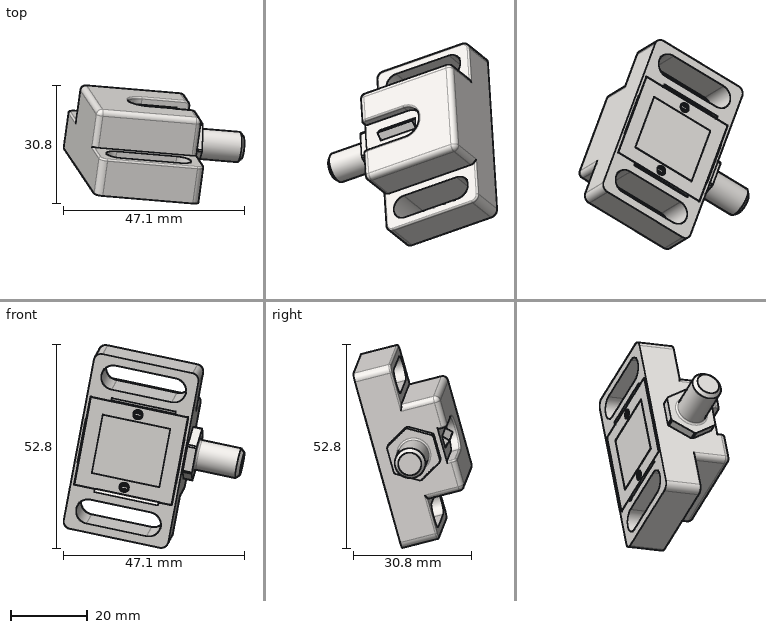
import cadquery as cq
import math


TILT_X = 14.5
TILT_Y = 11.9
TILT_Z = -4.8

WIDTH = 27.9
PLATE_HEIGHT = 47.95
PLATE_DEPTH = 10.0
PLATE_CORNER_RADIUS = 1.95
PLATE_EDGE_RADIUS = 0.5
BLOCK_HEIGHT = 26.0
TOTAL_DEPTH = 20.05
BLOCK_EDGE_RADIUS = 1.5

SLOT_WIDTH = 6.5
SLOT_CENTRE_SPACING = 16.0
SLOT_OFFSET = 18.4

GROOVE_WIDTH = 8.75
GROOVE_DEPTH = 2.5
GROOVE_CENTRE_X = 1.0
GROOVE_EDGE_RADIUS = 0.5

COVER_WIDTH = 25.9
COVER_HEIGHT = 24.0
COVER_DEPTH = 1.0
COVER_CLEARANCE = 0.1
NOTCH_LENGTH = 17.0
NOTCH_CENTRE_X = 1.0
NOTCH_WIDTH = 0.9
SIDE_NOTCH_LENGTH = 12.0
SIDE_NOTCH_WIDTH = 0.25

WINDOW_WIDTH = 18.0
WINDOW_HEIGHT = 16.0
WINDOW_DEPTH = 0.55
WINDOW_RECESS = 0.1

SCREW_DIAMETER = 1.95
SCREW_OFFSET = 10.0
SCREW_RECESS = 0.4
SCREW_LENGTH = 4.2
SCREW_SLOT_WIDTH = 0.95
COUNTERSINK_DIAMETER = 2.55

LENS_START_X = -1.0
LENS_END_X = 9.55
LENS_RIDGE_DEPTH = 0.9

PLUG_AXIS_Y = 10.0
PLUG_DIAMETER = 8.0
PLUG_TIP_DIAMETER = 6.0
PLUG_FOOT_RADIUS = 0.5
PLUG_END_X = 28.25
HEXAGON_ACROSS_FLATS = 12.5
HEXAGON_THICKNESS = 2.4
HEXAGON_TURNED_DIAMETER = 14.15

PICK_MARGIN = 0.05

SIDE_X = WIDTH / 2
SCREW_PLACES = (-SCREW_OFFSET, SCREW_OFFSET)


def block(width, height, front, back):
    """Box centred on the Y axis, from depth `front` to depth `back`."""
    return cq.Workplane("XY").box(width, back - front, height).translate((0, (front + back) / 2, 0))


def rod(diameter, x, z, front, back):
    """Cylinder along Y from depth `front` to depth `back`."""
    solid = cq.Solid.makeCylinder(diameter / 2, back - front, cq.Vector(x, front, z), cq.Vector(0, 1, 0))
    return cq.Workplane(solid)


def mounting_slot(z):
    """Cutter for one round-ended slot through the mounting plate."""
    length = SLOT_CENTRE_SPACING + SLOT_WIDTH
    profile = cq.Workplane("XZ").slot2D(length, SLOT_WIDTH)
    return profile.extrude(-PLATE_DEPTH).translate((0, 0, z))


def groove():
    """Cutter for the groove: a round inner end, then a straight channel out through the plug side."""
    end_x = GROOVE_CENTRE_X
    cutter = rod(GROOVE_WIDTH, end_x, 0, TOTAL_DEPTH - GROOVE_DEPTH, TOTAL_DEPTH)
    channel = block(WIDTH, GROOVE_WIDTH, TOTAL_DEPTH - GROOVE_DEPTH, TOTAL_DEPTH)
    return cutter.union(channel.translate((end_x + WIDTH / 2, 0, 0)))


def grip_notches():
    """Cutters for the pocket rim: a step at the top, a ramp at the bottom and narrow ramps beside."""
    pocket_x = COVER_WIDTH / 2
    pocket_z = COVER_HEIGHT / 2
    top = block(NOTCH_LENGTH, NOTCH_WIDTH, 0, COVER_DEPTH)
    cutters = [top.translate((NOTCH_CENTRE_X, 0, pocket_z + NOTCH_WIDTH / 2))]

    ramp_profile = [(0, 0), (0, -pocket_z - NOTCH_WIDTH), (COVER_DEPTH, -pocket_z), (COVER_DEPTH, 0)]
    ramp = cq.Workplane("YZ").polyline(ramp_profile).close().extrude(NOTCH_LENGTH / 2, both=True)
    cutters.append(ramp.translate((NOTCH_CENTRE_X, 0, 0)))

    for side in (-1, 1):
        flank_profile = [
            (0, 0),
            (side * (pocket_x + SIDE_NOTCH_WIDTH), 0),
            (side * pocket_x, COVER_DEPTH),
            (0, COVER_DEPTH),
        ]
        flank = cq.Workplane("XY").polyline(flank_profile).close()
        cutters.append(flank.extrude(SIDE_NOTCH_LENGTH / 2, both=True))
    return cutters


def make_housing():
    """Mounting plate and block in one piece, with all the openings cut into them."""
    plate = block(WIDTH, PLATE_HEIGHT, 0, PLATE_DEPTH)
    plate = plate.edges("|Y").fillet(PLATE_CORNER_RADIUS)
    plate = plate.faces(">Y").edges().fillet(PLATE_EDGE_RADIUS)
    back = block(WIDTH, BLOCK_HEIGHT, COVER_DEPTH, TOTAL_DEPTH)
    back = back.edges("|Y").fillet(BLOCK_EDGE_RADIUS)
    back = back.faces(">Y").edges().fillet(BLOCK_EDGE_RADIUS)
    back = back.cut(groove())
    reach = GROOVE_WIDTH / 2 + PICK_MARGIN
    mouth = cq.selectors.BoxSelector(
        (GROOVE_CENTRE_X - reach, TOTAL_DEPTH - PICK_MARGIN, -reach),
        (SIDE_X - BLOCK_EDGE_RADIUS, TOTAL_DEPTH + PICK_MARGIN, reach),
    )
    back = back.edges(mouth).fillet(GROOVE_EDGE_RADIUS)
    body = plate.union(back)

    for z in (-SLOT_OFFSET, SLOT_OFFSET):
        body = body.cut(mounting_slot(z))
    pocket_width = COVER_WIDTH + 2 * COVER_CLEARANCE
    pocket_height = COVER_HEIGHT + 2 * COVER_CLEARANCE
    body = body.cut(block(pocket_width, pocket_height, 0, COVER_DEPTH))
    for notch in grip_notches():
        body = body.cut(notch)
    for z in SCREW_PLACES:
        body = body.cut(rod(SCREW_DIAMETER, 0, z, 0, SCREW_LENGTH))
    return body


def make_cover():
    """Flat cover with a recess for the window and two countersunk screw holes."""
    cover = block(COVER_WIDTH, COVER_HEIGHT, 0, COVER_DEPTH)
    cover = cover.cut(block(WINDOW_WIDTH, WINDOW_HEIGHT, 0, WINDOW_DEPTH))
    countersink_depth = (COUNTERSINK_DIAMETER - SCREW_DIAMETER) / 2
    for z in SCREW_PLACES:
        cover = cover.cut(rod(SCREW_DIAMETER, 0, z, 0, COVER_DEPTH))
        countersink = cq.Solid.makeCone(
            COUNTERSINK_DIAMETER / 2,
            SCREW_DIAMETER / 2,
            countersink_depth,
            cq.Vector(0, 0, z),
            cq.Vector(0, 1, 0),
        )
        cover = cover.cut(cq.Workplane(countersink))
    return cover


def make_window():
    return block(WINDOW_WIDTH, WINDOW_HEIGHT, WINDOW_RECESS, WINDOW_DEPTH)


def make_screw(z):
    """Headless screw with a V-shaped driver slot across its head."""
    screw = rod(SCREW_DIAMETER, 0, z, SCREW_RECESS, SCREW_LENGTH)
    slot_profile = [
        (SCREW_RECESS, z - SCREW_SLOT_WIDTH / 2),
        (SCREW_RECESS, z + SCREW_SLOT_WIDTH / 2),
        (SCREW_RECESS + SCREW_SLOT_WIDTH / 2, z),
    ]
    slot = cq.Workplane("YZ").polyline(slot_profile).close().extrude(SCREW_DIAMETER, both=True)
    return screw.cut(slot)


def make_lens():
    """Roof-shaped bar on the floor of the groove, with its ridge along X and 45 degree flanks."""
    floor_y = TOTAL_DEPTH - GROOVE_DEPTH
    ridge_y = TOTAL_DEPTH - LENS_RIDGE_DEPTH
    half_width = ridge_y - floor_y
    profile = [(floor_y, -half_width), (ridge_y, 0), (floor_y, half_width)]
    lens = cq.Workplane("YZ").polyline(profile).close().extrude(LENS_END_X - LENS_START_X)
    return lens.translate((LENS_START_X, 0, 0))


def plug_rod(diameter, length):
    """Cylinder on the plug axis, starting at the side of the housing."""
    start = cq.Vector(SIDE_X, PLUG_AXIS_Y, 0)
    return cq.Workplane(cq.Solid.makeCylinder(diameter / 2, length, start, cq.Vector(1, 0, 0)))


def make_hexagon():
    corner_diameter = HEXAGON_ACROSS_FLATS / math.cos(math.pi / 6)
    hexagon = cq.Workplane("YZ").polygon(6, corner_diameter).extrude(HEXAGON_THICKNESS)
    hexagon = hexagon.rotate((0, 0, 0), (1, 0, 0), 30)
    hexagon = hexagon.translate((SIDE_X, PLUG_AXIS_Y, 0))
    return hexagon.intersect(plug_rod(HEXAGON_TURNED_DIAMETER, HEXAGON_THICKNESS))


def make_connector():
    """Hexagon flange and round plug in one piece, with a fillet where they meet."""
    plug = plug_rod(PLUG_DIAMETER, PLUG_END_X - SIDE_X)
    plug = plug.faces(">X").chamfer((PLUG_DIAMETER - PLUG_TIP_DIAMETER) / 2)
    connector = make_hexagon().union(plug)
    foot_x = SIDE_X + HEXAGON_THICKNESS
    reach = PLUG_DIAMETER
    foot = cq.selectors.BoxSelector(
        (foot_x - PICK_MARGIN, PLUG_AXIS_Y - reach, -reach),
        (foot_x + PICK_MARGIN, PLUG_AXIS_Y + reach, reach),
    )
    foot_edge = connector.edges("%CIRCLE").edges(foot).edges(cq.selectors.RadiusNthSelector(0))
    return foot_edge.fillet(PLUG_FOOT_RADIUS)


def tilted(body):
    """Solid of a body, turned from the local frame into its final attitude."""
    origin = (0, 0, 0)
    body = body.rotate(origin, (1, 0, 0), TILT_X)
    body = body.rotate(origin, (0, 1, 0), TILT_Y)
    return body.rotate(origin, (0, 0, 1), TILT_Z).val()


housing = make_housing()
cover = make_cover()
window = make_window()
screws = [make_screw(z) for z in SCREW_PLACES]
lens = make_lens()
connector = make_connector()

bodies = [housing, cover, window, *screws, lens, connector]
result = cq.Compound.makeCompound([tilted(body) for body in bodies])